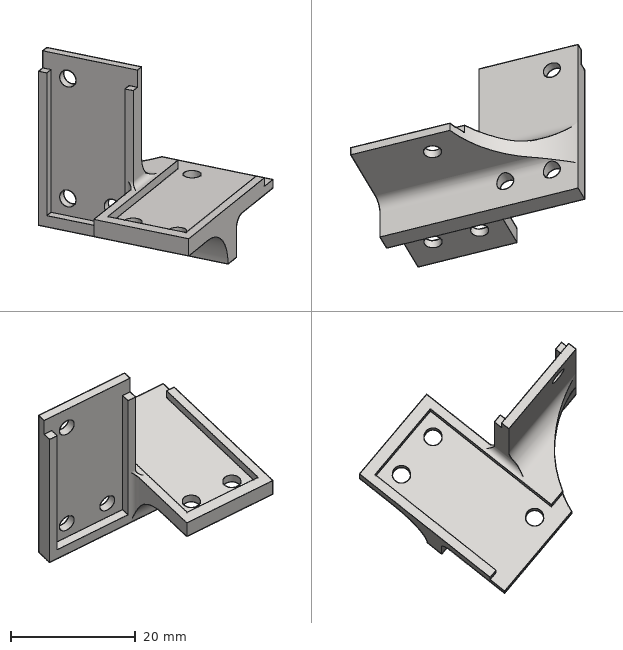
import cadquery as cq
import math

plate_width = 17.0
plate_length = 30.0
plate_thickness = 3.0
flat_bottom = 7.0
flat_top = flat_bottom + plate_thickness
flat_front = -14.0
flat_back = flat_front + plate_length
upright_back = plate_thickness
total_width = 2 * plate_width

recess_depth = 1.5
side_rim = 1.5
end_rim = 2.0
open_end_length = 3.0

hole_diameter = 2.9
hole_positions = [(4.5, 5.0), (12.5, 5.0), (4.5, 26.0)]

web_arc_radius = 20.0
upper_blend = 4.0
rear_lower_blend = 2.0
front_lower_blend = 7.0
joint_blend = 1.0


def box(x_range, y_range, z_range):
    """Axis-aligned block between the given limits."""
    size = [end - start for start, end in (x_range, y_range, z_range)]
    corner = (x_range[0], y_range[0], z_range[0])
    return cq.Workplane("XY").box(*size, centered=False).translate(corner)


def cove(plane, corner, directions, radius, length):
    """Concave blend filling an inside corner, extruded along the plane's normal.

    The corner is in the plane's own coordinates; directions (+1 or -1) give the
    sense of the two legs.
    """
    u, v = corner
    u_end = u + directions[0] * radius
    v_end = v + directions[1] * radius
    inset = radius * (1 - math.sqrt(0.5))
    arc_middle = (u + directions[0] * inset, v + directions[1] * inset)
    profile = cq.Workplane(plane).moveTo(u, v).lineTo(u_end, v)
    return profile.threePointArc(arc_middle, (u, v_end)).close().extrude(length)


def cove_along_x(y, z, directions, radius, x_start, x_end):
    return cove("YZ", (y, z), directions, radius, x_end - x_start).translate((x_start, 0, 0))


def plate():
    """Plate lying in XY with the recess, open end and holes on its top face."""
    recess_floor = plate_thickness - recess_depth
    cut_height = (recess_floor, plate_thickness)
    body = box((0, plate_width), (0, plate_length), (0, plate_thickness))
    recess = box((side_rim, plate_width - side_rim), (end_rim, plate_length), cut_height)
    open_end = box((0, plate_width), (plate_length - open_end_length, plate_length), cut_height)
    return body.cut(recess).cut(open_end)


def stand_up(shape):
    """Turn a shape modelled in XY so its top faces -Y and its length runs along Z."""
    return shape.rotate((0, 0, 0), (1, 0, 0), 90).translate((0, upright_back, 0))


def place_flat(shape):
    return shape.translate((plate_width, flat_front, flat_bottom))


def plate_holes():
    """Hole cutters, reaching past both faces to clear the blend behind a plate."""
    clearance = rear_lower_blend
    cutters = cq.Workplane("XY").workplane(offset=-clearance).pushPoints(hole_positions)
    return cutters.circle(hole_diameter / 2).extrude(plate_thickness + 2 * clearance)


def web_cutter():
    """Region beyond the concave edge that runs between the two plates' corners."""
    rise = flat_back - upright_back
    chord = math.hypot(plate_width, rise)
    sagitta = web_arc_radius - math.sqrt(web_arc_radius ** 2 - (chord / 2) ** 2)
    arc_middle = (
        plate_width / 2 + sagitta * rise / chord,
        (upright_back + flat_back) / 2 - sagitta * plate_width / chord,
    )
    outline = cq.Workplane("XY").moveTo(0, upright_back)
    outline = outline.threePointArc(arc_middle, (plate_width, flat_back))
    return outline.lineTo(0, flat_back).close().extrude(plate_length)


def web():
    """Horizontal web behind the upright plate, with its blends and concave edge."""
    slab = box((0, plate_width), (upright_back, flat_back), (flat_bottom, flat_top))
    step = box(
        (0, plate_width),
        (flat_back - open_end_length, flat_back),
        (flat_top - recess_depth, flat_top),
    )
    upper = cove_along_x(upright_back, flat_top, (1, 1), upper_blend, 0, plate_width)
    lower = cove_along_x(upright_back, flat_bottom, (1, -1), rear_lower_blend, 0, plate_width)
    return slab.cut(step).union(upper).union(lower).cut(web_cutter())


def foot():
    """Vertical foot below the flat plate, blended into its underside front and back."""
    block = box((plate_width, total_width), (0, upright_back), (0, flat_bottom))
    front = cove_along_x(0, flat_bottom, (-1, -1), front_lower_blend, plate_width, total_width)
    back = cove_along_x(
        upright_back, flat_bottom, (1, -1), rear_lower_blend, plate_width, total_width
    )
    return block.union(front).union(back)


def joint_blends():
    """Small blends along both plate sides, mitred where they meet other blends."""
    left = plate_width - joint_blend
    right = plate_width + joint_blend
    blend_top = flat_top + joint_blend
    web_blend_back = upright_back + upper_blend

    upright = cove("XY", (plate_width, 0), (-1, -1), joint_blend, blend_top)
    level_length = web_blend_back + joint_blend
    level = cove("XZ", (plate_width, flat_top), (1, 1), joint_blend, level_length)
    level = level.translate((0, web_blend_back, 0))
    corner = cove_along_x(0, flat_top, (-1, 1), joint_blend, left, right)
    foot_front = cove_along_x(0, flat_bottom, (-1, -1), front_lower_blend, left, plate_width)
    web_top = cove_along_x(upright_back, flat_top, (1, 1), upper_blend, plate_width, right)

    upright_middle = box((left, plate_width), (-joint_blend, 0), (flat_bottom, flat_top))
    level_middle = box((plate_width, right), (0, upright_back), (flat_top, blend_top))
    pieces = [
        upright.intersect(upright_middle),
        upright.intersect(foot_front),
        upright.intersect(corner),
        level.intersect(level_middle),
        level.intersect(web_top),
        level.intersect(corner),
    ]
    blends = pieces[0]
    for piece in pieces[1:]:
        blends = blends.union(piece)
    return blends


body = stand_up(plate()).union(place_flat(plate()))
body = body.union(web()).union(foot()).union(joint_blends())
result = body.cut(stand_up(plate_holes())).cut(place_flat(plate_holes())).clean()